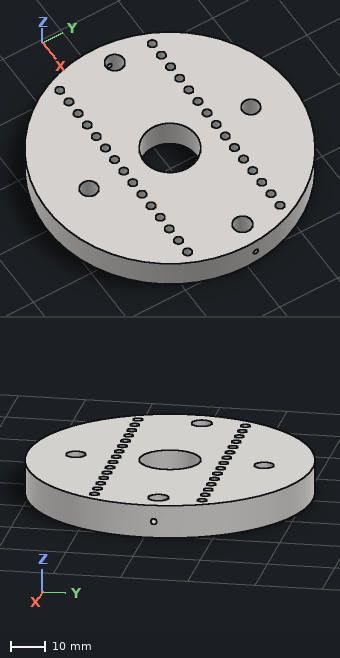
import cadquery as cq

disc_diameter = 85.0
disc_thickness = 10.0
center_bore_diameter = 18.0

row_hole_diameter = 2.7
row_hole_count = 15
row_hole_pitch = 5.0
row_offset = 16.0

mount_hole_diameter = 5.7
mount_hole_offset = 28.0

rod_hole_diameter = 6.0
rod_hole_x = 35.0
rod_hole_y = 3.0
screw_hole_diameter = 1.7


def drill_through(body, diameter, points):
    """Cut vertical holes through the full thickness at the given XY points."""
    drills = (
        cq.Workplane("XY")
        .pushPoints(points)
        .circle(diameter / 2)
        .extrude(disc_thickness)
    )
    return body.cut(drills)


def drill_screw_hole(body, side):
    """Cut a hole along X at mid-thickness, from the rod hole axis out past the rim."""
    length = side * (disc_diameter / 2 - rod_hole_x)
    drill = (
        cq.Workplane("YZ", origin=(side * rod_hole_x, rod_hole_y, disc_thickness / 2))
        .circle(screw_hole_diameter / 2)
        .extrude(length)
    )
    return body.cut(drill)


row_length = (row_hole_count - 1) * row_hole_pitch
row_points = [
    (index * row_hole_pitch - row_length / 2, side * row_offset)
    for side in (-1, 1)
    for index in range(row_hole_count)
]
mount_points = [(0, side * mount_hole_offset) for side in (-1, 1)]
rod_points = [(side * rod_hole_x, rod_hole_y) for side in (-1, 1)]

result = cq.Workplane("XY").circle(disc_diameter / 2).extrude(disc_thickness)
result = drill_through(result, center_bore_diameter, [(0, 0)])
result = drill_through(result, row_hole_diameter, row_points)
result = drill_through(result, mount_hole_diameter, mount_points)
result = drill_through(result, rod_hole_diameter, rod_points)
for rim_side in (-1, 1):
    result = drill_screw_hole(result, rim_side)